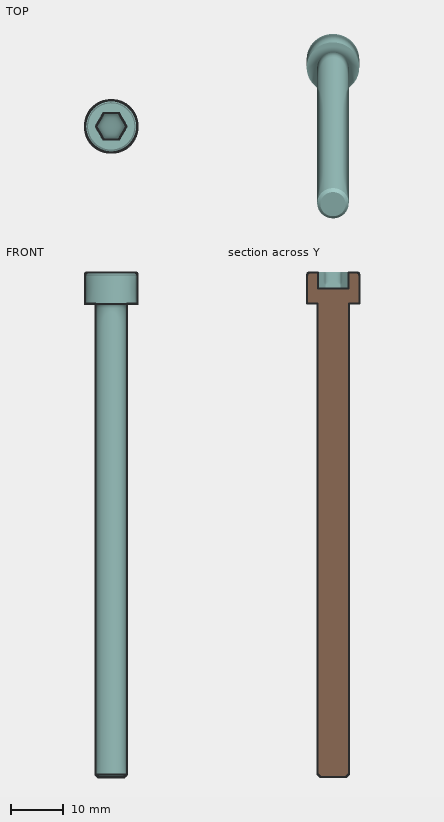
import cadquery as cq
import math

shank_diameter = 6.0
shank_length = 90.0
tip_chamfer = 0.6

head_diameter = 10.0
head_height = shank_diameter
head_edge_radius = 0.5

socket_sides = 6
socket_across_flats = 5.0
socket_depth = 3.0


def make_head():
    head = cq.Workplane("XY").circle(head_diameter / 2).extrude(head_height)
    return head.faces(">Z").edges().fillet(head_edge_radius)


def make_shank():
    shank = cq.Workplane("XY").circle(shank_diameter / 2).extrude(-shank_length)
    return shank.faces("<Z").edges().chamfer(tip_chamfer)


def make_socket():
    """Hexagonal key socket with two corners on the X axis."""
    across_corners = socket_across_flats / math.cos(math.pi / socket_sides)
    return (
        cq.Workplane("XY", origin=(0, 0, head_height))
        .polygon(socket_sides, across_corners)
        .extrude(-socket_depth)
    )


result = make_head().union(make_shank()).cut(make_socket())